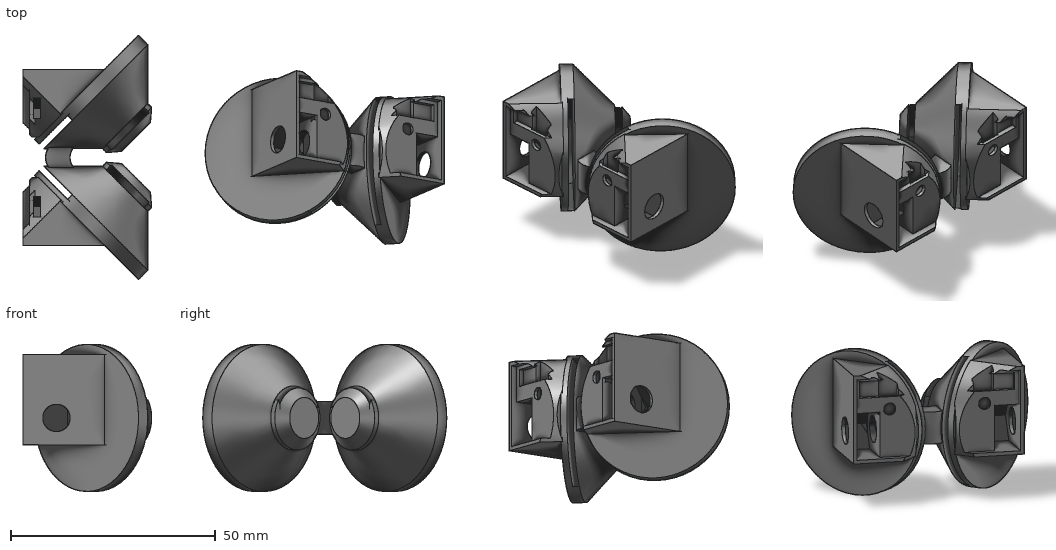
import cadquery as cq
import math


flange_radius = 36.0 / 2
flange_thickness = 3.2
axis_y = 29.85 - flange_radius * math.sqrt(0.5)
axis_x = 15.6
neck_radius = 7.8
neck_start = 13.35
neck_end = 14.75
nose_end = 17.1
nose_radius = 5.0

filter_slot_start = flange_thickness / 2
filter_half_width = 16.05
filter_corner_radius = 16.7

lens_slot_start = neck_start
lens_slot_width = 1.8
lens_radius = 6.5

housing_inner_y = 4.95
housing_outer_y = 21.55
housing_bottom = -6.55
housing_top = 15.5
housing_inset = 0.35
side_wall = 0.9
top_wall = 1.0

face_x = 1.7

socket_x = 8.25
socket_half_height = 5.65
socket_inner_y = 14.5
side_hole_diameter = 6.7
side_hole_end_y = 12.5

screw_y = 12.0
screw_z = 6.3
screw_diameter = 3.0
nut_width = 5.0
nut_start_x = 2.55
nut_end_x = 4.35

pocket_end_x = 3.0
pocket_bottom = 9.4
pocket_top = 13.6
pocket_outer_y = 19.6

bridge_back_x = 5.55
bridge_length = 6.0
bridge_radius = 4.0
bridge_height = 8.05
bridge_half_width = 2.45

reach = 59.65


def axis_plane(distance):
    """Plane square to the optical axis: local x is horizontal, away from the other lamp; local y is up."""
    step = distance * math.sqrt(0.5)
    return cq.Plane(origin=(axis_x + step, axis_y - step, 0), xDir=(1, 1, 0), normal=(1, -1, 0))


def block(x_range, y_range, z_range):
    """Box between the given limits."""
    (x0, x1), (y0, y1), (z0, z1) = x_range, y_range, z_range
    return cq.Workplane("XY").box(x1 - x0, y1 - y0, z1 - z0, centered=False).translate((x0, y0, z0))


def hexagon_points(across_flats, first_angle):
    """Corners of a hexagon around the origin."""
    radius = across_flats / math.sqrt(3)
    angles = [math.radians(first_angle + 60 * i) for i in range(6)]
    return [(radius * math.cos(a), radius * math.sin(a)) for a in angles]


def socket_cutter():
    """Hexagonal chamber with a corner towards +X, and its square entry from the rear face."""
    socket_outer_y = housing_outer_y - side_wall
    chamber = (
        cq.Workplane("XZ", origin=(socket_x, socket_outer_y, 0))
        .polyline(hexagon_points(2 * socket_half_height, 0)).close()
        .extrude(socket_outer_y - socket_inner_y)
    )
    entry = block(
        (0, socket_x), (socket_inner_y, socket_outer_y), (-socket_half_height, socket_half_height)
    )
    return chamber.union(entry)


def screw_cutter():
    """Screw hole in the rear face and a nut slot open at the top."""
    hole = (
        cq.Workplane("YZ", origin=(face_x, screw_y, screw_z))
        .circle(screw_diameter / 2).extrude(nut_end_x - face_x)
    )
    nut = (
        cq.Workplane("YZ", origin=(nut_start_x, screw_y, screw_z))
        .polyline(hexagon_points(nut_width, 90)).close()
        .extrude(nut_end_x - nut_start_x)
    )
    nut_slot = block(
        (nut_start_x, nut_end_x),
        (screw_y - nut_width / 2, screw_y + nut_width / 2),
        (screw_z, housing_top),
    )
    return hole.union(nut).union(nut_slot)


def housing_blank():
    """Box trimmed by the flange cylinder and ended just inside the flange."""
    box = block((0, reach), (housing_inner_y, housing_outer_y), (housing_bottom, housing_top))
    trim = cq.Workplane(axis_plane(housing_inset)).circle(flange_radius).extrude(-reach)
    return box.intersect(trim)


def make_housing():
    """Housing with its rear recess and all its openings."""
    rear_recess = block(
        (0, face_x),
        (0, housing_outer_y - side_wall),
        (housing_bottom + side_wall, housing_top - top_wall),
    )
    pocket = block((0, pocket_end_x), (0, pocket_outer_y), (pocket_bottom, pocket_top))
    side_hole = (
        cq.Workplane("XZ", origin=(socket_x, housing_outer_y, 0))
        .circle(side_hole_diameter / 2).extrude(housing_outer_y - side_hole_end_y)
    )
    housing = housing_blank()
    for cutter in (rear_recess, pocket, side_hole, socket_cutter(), screw_cutter()):
        housing = housing.cut(cutter)
    return housing


def filter_slot():
    """Slot in the front half of the flange, its far corners rounded about the optical axis."""
    corner = math.sqrt(filter_corner_radius**2 - filter_half_width**2)
    return (
        cq.Workplane(axis_plane(filter_slot_start))
        .moveTo(-reach, -filter_half_width)
        .lineTo(corner, -filter_half_width)
        .radiusArc((filter_half_width, -corner), -filter_corner_radius)
        .lineTo(filter_half_width, corner)
        .radiusArc((corner, filter_half_width), -filter_corner_radius)
        .lineTo(-reach, filter_half_width)
        .close()
        .extrude(flange_thickness - filter_slot_start)
    )


def lens_slot():
    """Slot in the neck with a round bottom."""
    return (
        cq.Workplane(axis_plane(lens_slot_start))
        .moveTo(-lens_radius, reach)
        .lineTo(-lens_radius, 0)
        .threePointArc((0, -lens_radius), (lens_radius, 0))
        .lineTo(lens_radius, reach)
        .close()
        .extrude(lens_slot_width)
    )


def head_blank():
    """Flange, cone, neck and nose turned about the optical axis."""
    profile = [
        (0, 0),
        (flange_radius, 0),
        (flange_radius, flange_thickness),
        (neck_radius, neck_start),
        (neck_radius, neck_end),
        (nose_radius, nose_end),
        (0, nose_end),
    ]
    turning_plane = cq.Plane(origin=(axis_x, axis_y, 0), xDir=(1, 1, 0), normal=(0, 0, -1))
    return cq.Workplane(turning_plane).polyline(profile).close().revolve(360, (0, 0), (0, 1))


def make_head():
    """Head with its two slots, recessed for the end of the housing and for the corner of its socket."""
    head = head_blank()
    for cutter in (filter_slot(), lens_slot(), make_housing(), socket_cutter()):
        head = head.cut(cutter)
    return head


def make_bridge():
    """Strip across the gap, its ends shaped to the cones of both heads."""
    sagitta = bridge_radius - math.sqrt(bridge_radius**2 - bridge_half_width**2)
    front_x = bridge_back_x + bridge_length
    strip = (
        cq.Workplane("XY", origin=(0, 0, -bridge_height / 2))
        .moveTo(bridge_back_x + sagitta, -bridge_half_width)
        .threePointArc((bridge_back_x, 0), (bridge_back_x + sagitta, bridge_half_width))
        .lineTo(front_x + sagitta, bridge_half_width)
        .threePointArc((front_x, 0), (front_x + sagitta, -bridge_half_width))
        .close()
        .extrude(bridge_height)
    )
    head = head_blank()
    return strip.cut(head).cut(head.mirror("XZ"))


def mirrored_pair(body):
    """The body of the +Y lamp and its mirror image on the -Y lamp."""
    return [side.val() for side in (body, body.mirror("XZ"))]


housings = mirrored_pair(make_housing())
heads = mirrored_pair(make_head())
bridge = make_bridge()

result = cq.Compound.makeCompound([*housings, *heads, bridge.val()])